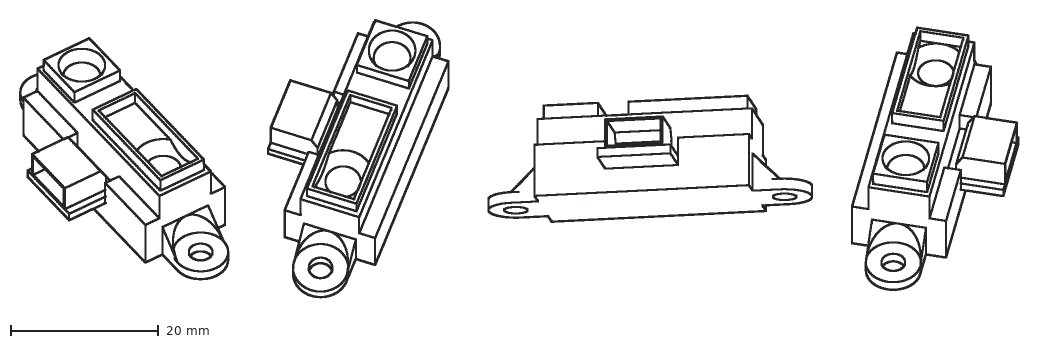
import cadquery as cq
import math

overall_length = 44.5
overall_depth = 18.9
overall_height = 13.5
ear_radius = 3.75
housing_length = overall_length - 4 * ear_radius
base_depth = 13.05
base_height = 7.2
upper_depth = 8.45
upper_top = 11.5

ear_center_x = overall_length / 2 - ear_radius
ear_thickness = 1.5
ear_hole_diameter = 3.2

block_end_gap = 0.75
emitter_size = 7.48
emitter_x = -housing_length / 2 + block_end_gap + emitter_size / 2
detector_length = 16.38
detector_depth = 7.1
detector_wall = 0.6
detector_x = housing_length / 2 - block_end_gap - detector_length / 2
pocket_length = detector_length - 2 * detector_wall
pocket_width = detector_depth - 2 * detector_wall
pocket_depth = 1.85
pocket_floor = overall_height - pocket_depth

emitter_mouth_radius = 3.15
emitter_lens_radius = 2.5
emitter_seat_depth = 1.95
emitter_dome_height = 1.0
detector_mouth_radius = 4.0
detector_lens_radius = 2.4
detector_seat_depth = 1.6
detector_dome_height = 0.65
detector_lens_x = detector_x + pocket_length / 2 - detector_mouth_radius

front_y = base_depth / 2 - overall_depth
board_width = 10.05
board_bottom = 3.35
board_thickness = 1.25
board_top = board_bottom + board_thickness
shell_width = 7.9
shell_wall = 0.25
shell_top = 8.6
shell_slope_run = 0.9
shell_slope_angle = 60
shell_slope_rise = shell_slope_run * math.tan(math.radians(shell_slope_angle))
shell_back_y = -base_depth / 2 + shell_slope_run


def box(x_size, y_min, y_max, z_min, z_max, x_center=0):
    """Box centred on x_center in X, between the given Y and Z limits."""
    return cq.Workplane("XY").box(
        x_size, y_max - y_min, z_max - z_min, centered=(True, False, False)
    ).translate((x_center, y_min, z_min))


def centered_box(x_size, y_size, z_min, z_max, x_center=0):
    """Box centred on the XZ plane."""
    return box(x_size, -y_size / 2, y_size / 2, z_min, z_max, x_center)


def make_ear():
    """Left mounting ear with a 45 degree gusset and clearance for a screw head."""
    housing_x = -ear_center_x + ear_radius
    gusset = (
        cq.Workplane("XZ", origin=(0, ear_radius, 0))
        .moveTo(-ear_center_x, 0)
        .lineTo(housing_x, 0)
        .lineTo(housing_x, ear_thickness + ear_radius)
        .lineTo(-ear_center_x, ear_thickness)
        .close()
        .extrude(2 * ear_radius)
    )
    center = cq.Workplane("XY").center(-ear_center_x, 0)
    head_clearance = center.circle(ear_radius).extrude(ear_radius).translate((0, 0, ear_thickness))
    hole = center.circle(ear_hole_diameter / 2).extrude(ear_thickness)
    return gusset.cut(head_clearance).union(center.circle(ear_radius).extrude(ear_thickness)).cut(hole)


def make_seat(x, mouth_radius, lens_radius, mouth_z, depth):
    """Conical recess that narrows from its mouth down to the lens rim."""
    return (
        cq.Workplane("XZ")
        .lineTo(lens_radius, 0)
        .lineTo(mouth_radius, depth)
        .lineTo(0, depth)
        .close()
        .revolve(360, (0, 0), (0, 1))
        .translate((x, 0, mouth_z - depth))
    )


def make_lens(x, rim_radius, rim_z, dome_height):
    """Spherical cap with a flat underside resting on the seat floor."""
    sphere_radius = (rim_radius**2 + dome_height**2) / (2 * dome_height)
    half_angle = math.asin(rim_radius / sphere_radius) / 2
    arc_middle = (
        sphere_radius * math.sin(half_angle),
        dome_height - sphere_radius * (1 - math.cos(half_angle)),
    )
    return (
        cq.Workplane("XZ")
        .lineTo(rim_radius, 0)
        .threePointArc(arc_middle, (0, dome_height))
        .close()
        .revolve(360, (0, 0), (0, 1))
        .translate((x, 0, rim_z))
    )


def make_housing():
    base = centered_box(housing_length, base_depth, 0, base_height)
    upper = centered_box(housing_length, upper_depth, 0, upper_top)
    emitter_block = centered_box(emitter_size, emitter_size, base_height, overall_height, emitter_x)
    detector_frame = centered_box(
        detector_length, detector_depth, base_height, overall_height, detector_x
    )
    body = base.union(upper).union(emitter_block).union(detector_frame)

    ear = make_ear()
    body = body.union(ear).union(ear.mirror("YZ"))

    body = body.cut(
        make_seat(
            emitter_x, emitter_mouth_radius, emitter_lens_radius, overall_height, emitter_seat_depth
        )
    )

    pocket = centered_box(pocket_length, pocket_width, pocket_floor, overall_height, detector_x)
    seat_limit = centered_box(pocket_length, pocket_width, 0, pocket_floor, detector_x)
    detector_seat = make_seat(
        detector_lens_x, detector_mouth_radius, detector_lens_radius, pocket_floor, detector_seat_depth
    )
    body = body.cut(pocket).cut(detector_seat.intersect(seat_limit))

    notch = box(board_width, -base_depth / 2, -upper_depth / 2, board_bottom, base_height)
    return body.cut(notch)


def make_board():
    return box(board_width, front_y, -upper_depth / 2, board_bottom, board_top)


def make_shell():
    """Thin-walled socket open at the front, with a sloped upper back edge."""
    block = (
        cq.Workplane("YZ", origin=(-shell_width / 2, 0, 0))
        .moveTo(front_y, board_top)
        .lineTo(shell_back_y, board_top)
        .lineTo(shell_back_y, shell_top - shell_slope_rise)
        .lineTo(shell_back_y - shell_slope_run, shell_top)
        .lineTo(front_y, shell_top)
        .close()
        .extrude(shell_width)
    )
    return block.faces("<Y").shell(-shell_wall)


housing = make_housing()
board = make_board()
connector_shell = make_shell()
emitter_lens = make_lens(
    emitter_x, emitter_lens_radius, overall_height - emitter_seat_depth, emitter_dome_height
)
detector_lens = make_lens(
    detector_lens_x, detector_lens_radius, pocket_floor - detector_seat_depth, detector_dome_height
)

result = cq.Compound.makeCompound(
    [housing.val(), board.val(), connector_shell.val(), emitter_lens.val(), detector_lens.val()]
)